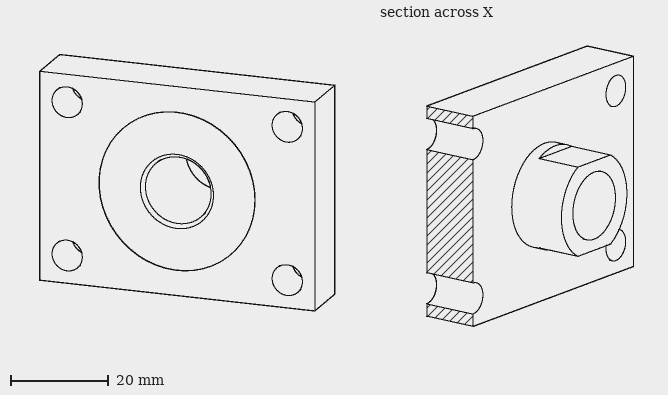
import cadquery as cq
import math

plate_width = 60.0
plate_height = 45.0
plate_thickness = 12.0
total_depth = 25.0

pad_diameter = 34.0
pad_height = 0.2

boss_diameter = 22.0
flat_width = 11.0
flat_length = 10.0
flat_offset = math.sqrt((boss_diameter / 2) ** 2 - (flat_width / 2) ** 2)

bore_diameter = 14.35
bore_mouth_diameter = 15.95
bore_chamfer = (bore_mouth_diameter - bore_diameter) / 2
chamfer_angle = 45.0

mount_hole_diameter = 6.6
mount_spacing_x = 48.0
mount_spacing_z = 33.0

front_y = -total_depth / 2
plate_front_y = front_y + pad_height
plate_back_y = plate_front_y + plate_thickness
back_y = total_depth / 2


def plane_at(y):
    """XZ plane at the given Y, extruding toward +Y."""
    return cq.Workplane(cq.Plane(origin=(0, y, 0), xDir=(1, 0, 0), normal=(0, 1, 0)))


def cylinder(diameter, start_y, end_y):
    return plane_at(start_y).circle(diameter / 2).extrude(end_y - start_y)


def flat_cutter(side):
    """Block that removes one boss segment above (+1) or below (-1) the bore."""
    cut_height = boss_diameter / 2
    return (
        plane_at(back_y - flat_length)
        .center(0, side * (flat_offset + cut_height / 2))
        .rect(boss_diameter, cut_height)
        .extrude(flat_length)
    )


plate = plane_at(plate_front_y).rect(plate_width, plate_height).extrude(plate_thickness)
mount_holes = (
    plane_at(plate_front_y)
    .rect(mount_spacing_x, mount_spacing_z, forConstruction=True)
    .vertices()
    .circle(mount_hole_diameter / 2)
    .extrude(plate_thickness)
)

boss = cylinder(boss_diameter, plate_back_y, back_y)
for side in (1, -1):
    boss = boss.cut(flat_cutter(side))

pad = cylinder(pad_diameter, front_y, plate_front_y)
bore = cylinder(bore_diameter, front_y, back_y)
bore_mouth = (
    plane_at(front_y)
    .circle(bore_mouth_diameter / 2)
    .extrude(bore_chamfer, taper=chamfer_angle)
)

result = plate.union(boss).union(pad).cut(mount_holes).cut(bore).cut(bore_mouth)